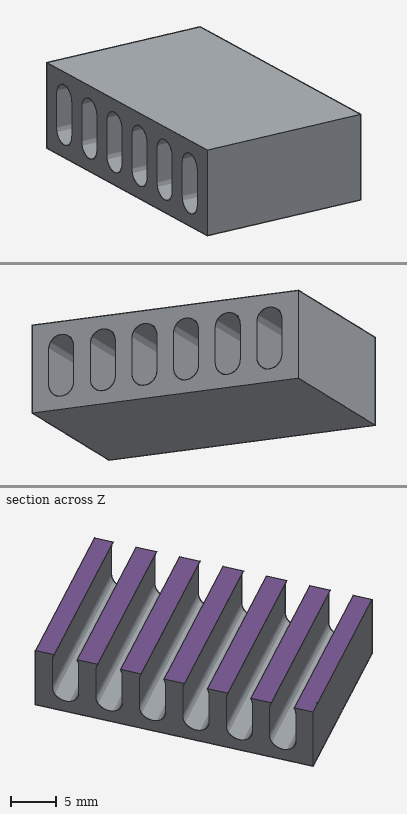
import cadquery as cq

length = 32.0
depth = 20.0
height = depth / 2

slot_count = 6
slot_width = 3.0
slot_height = 7.0

wall = (length - slot_count * slot_width) / (slot_count + 1)
slot_pitch = slot_width + wall

block = cq.Workplane("XY").box(length, depth, height)

slots = (
    cq.Workplane("XZ")
    .rarray(slot_pitch, 0.32, slot_count, 1)
    .slot2D(slot_height, slot_width, angle=90)
    .extrude(depth / 2, both=True)
)

result = block.cut(slots)